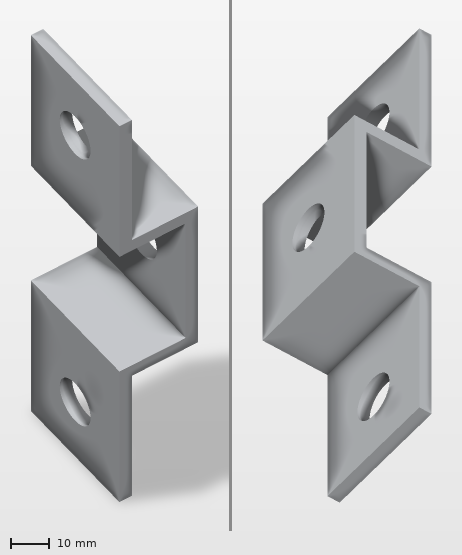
import cadquery as cq

width = 40.0
depth = 25.0
height = 141.0
thickness = 4.0

channel_inner_height = 43.0
channel_outer_height = channel_inner_height + 2 * thickness

hole_diameter = 14.0
hole_spacing = 50.0

front = -depth / 2
back = depth / 2
top = height / 2
inner_top = channel_inner_height / 2
outer_top = channel_outer_height / 2

upper_outline = [
    (front, inner_top),
    (front, top),
    (front + thickness, top),
    (front + thickness, outer_top),
    (back, outer_top),
]
upper_inner_corner = (back - thickness, inner_top)


def mirrored(point):
    """Reflect a profile point across the horizontal mid-plane."""
    y, z = point
    return (y, -z)


lower_outline = [mirrored(point) for point in reversed(upper_outline)]
profile = upper_outline + lower_outline + [mirrored(upper_inner_corner), upper_inner_corner]

strap = cq.Workplane("YZ").polyline(profile).close().extrude(width / 2, both=True)

holes = (
    cq.Workplane("XZ")
    .pushPoints([(0, -hole_spacing), (0, 0), (0, hole_spacing)])
    .circle(hole_diameter / 2)
    .extrude(depth, both=True)
)

result = strap.cut(holes)